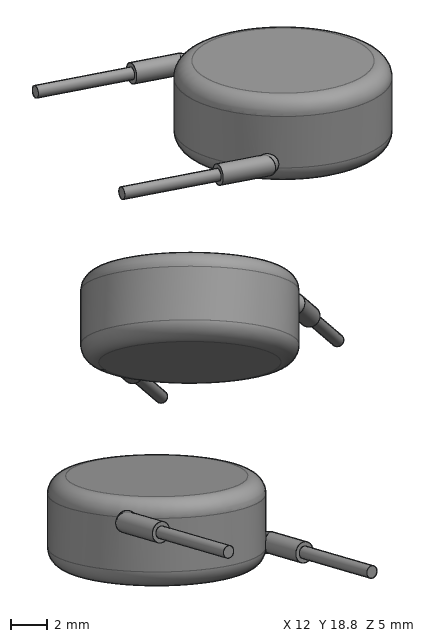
import cadquery as cq
import math

body_diameter = 12.0
body_height = 5.0
rim_radius = 1.0

lead_spacing = 10.01
lead_level_offset = 1.3
wire_diameter = 0.71
wire_length = 6.0
lead_tip_reach = 12.75

sleeve_diameter = 1.2
bend_reach = 3.73
bend_angle = 45.0
bend_tail_length = 1.88

sleeve_end_y = -(lead_tip_reach - wire_length)
bend_y = -bend_reach
wire_tip_y = -lead_tip_reach

lead_sides = [-1, 1]


def lead_axis_point(side, y):
    """Point on the straight axis of the lead on the given X side."""
    return (side * lead_spacing / 2, y, -side * lead_level_offset)


def make_disc():
    """Round disc with rounded rims, centred on the origin."""
    disc = cq.Workplane("XY").cylinder(body_height, body_diameter / 2)
    return disc.edges("%CIRCLE").fillet(rim_radius)


def make_sleeve(side):
    """Insulating sleeve that rises from its open end and turns into the disc with a mitred bend."""
    bend_x, _, level = lead_axis_point(side, bend_y)
    turn = math.radians(bend_angle)
    tail_x = bend_x - side * bend_tail_length * math.sin(turn)
    tail_y = bend_y + bend_tail_length * math.cos(turn)
    path = (
        cq.Workplane("XY", origin=(0, 0, level))
        .moveTo(bend_x, sleeve_end_y)
        .lineTo(bend_x, bend_y)
        .lineTo(tail_x, tail_y)
    )
    open_end = cq.Workplane("XZ", origin=lead_axis_point(side, sleeve_end_y))
    return open_end.circle(sleeve_diameter / 2).sweep(path, transition="right")


def make_wire(side):
    """Straight round wire from its tip to the bend inside the sleeve."""
    tip = cq.Workplane("XZ", origin=lead_axis_point(side, wire_tip_y))
    return tip.circle(wire_diameter / 2).extrude(wire_tip_y - bend_y)


wires = [make_wire(side) for side in lead_sides]

coating = make_disc()
for side, wire in zip(lead_sides, wires):
    coating = coating.union(make_sleeve(side)).cut(wire)

result = cq.Compound.makeCompound([coating.val(), *[wire.val() for wire in wires]])